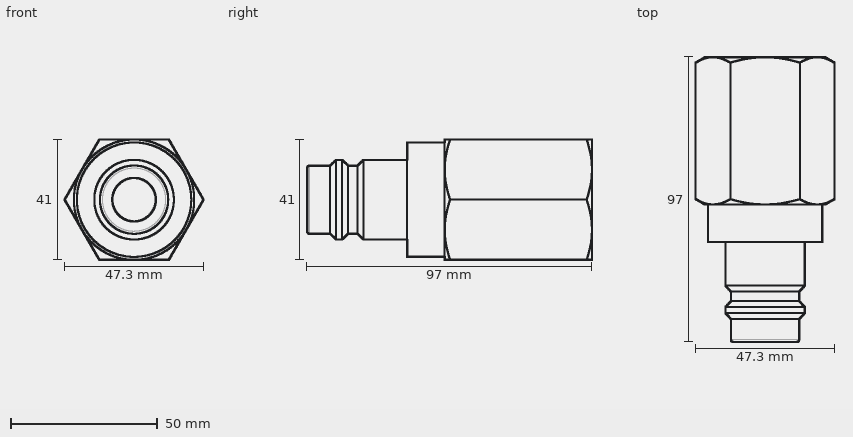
import cadquery as cq
import math

total_length = 97.0
hex_start = 46.85
collar_start = 34.0
hex_flats = 41.0
hex_corner_radius = hex_flats / math.sqrt(3)
hex_chamfer_angle = 30.0
collar_radius = 19.5
plug_radius = 13.6
nose_radius = 11.6
bore_radius = 7.4
tip_rounding = 0.9

slope_length = 2.0
rib_start = 7.9
rib_width = 2.0
groove_start = 14.0
groove_end = 17.2


def revolve_about_y(outline):
    """Revolve a closed (radius, y) outline about the Y axis."""
    return cq.Workplane("XY").polyline(outline).close().revolve(360, (0, 0, 0), (0, 1, 0))


def make_plug():
    rib_top = rib_start + slope_length
    outline = [
        (0, 0),
        (nose_radius, 0),
        (nose_radius, rib_start),
        (plug_radius, rib_top),
        (plug_radius, rib_top + rib_width),
        (nose_radius, groove_start),
        (nose_radius, groove_end),
        (plug_radius, groove_end + slope_length),
        (plug_radius, collar_start),
        (collar_radius, collar_start),
        (collar_radius, hex_start),
        (0, hex_start),
    ]
    return revolve_about_y(outline).faces("<Y").edges().fillet(tip_rounding)


def make_hex_body():
    prism = (
        cq.Workplane("XZ", origin=(0, hex_start, 0))
        .polygon(6, 2 * hex_corner_radius)
        .extrude(hex_start - total_length)
    )
    face_radius = hex_flats / 2
    chamfer_length = (hex_corner_radius - face_radius) * math.tan(math.radians(hex_chamfer_angle))
    envelope = revolve_about_y([
        (0, hex_start),
        (face_radius, hex_start),
        (hex_corner_radius, hex_start + chamfer_length),
        (hex_corner_radius, total_length - chamfer_length),
        (face_radius, total_length),
        (0, total_length),
    ])
    return prism.intersect(envelope)


bore = cq.Workplane("XZ").circle(bore_radius).extrude(-total_length)
result = make_plug().union(make_hex_body()).cut(bore)